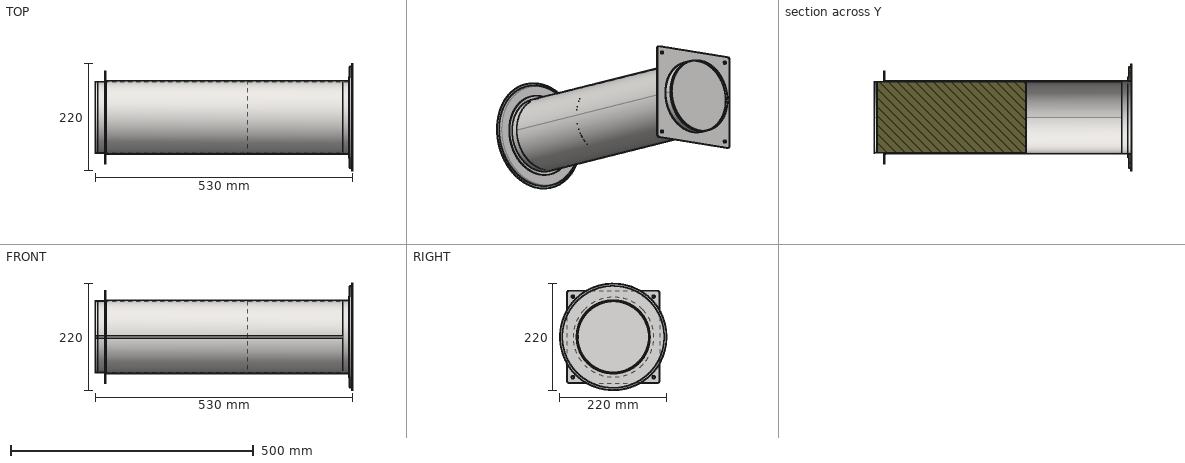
import cadquery as cq

total_length = 530.0

tube_radius = 76.0
tube_wall = 1.85
tube_start_x = 23.0

plate_x = 19.5
plate_thickness = 2.0
plate_side = 190.5
plate_corner_radius = 5.5
plate_hole_diameter = 5.5
plate_hole_pitch = 166.0

inner_tube_length = 509.0
inner_tube_wall = 0.8
inner_tube_slit_width = 5.0

plug_front_x = 6.0
plug_back_x = 313.0

flange_diameter = 220.0
flange_rim_thickness = 1.3
flange_face_x = 523.5
flange_dish_radius = 105.0
flange_dish_fillet = 2.0
flange_hub_x = 522.0
flange_hub_radius = 82.5

inner_tube_radius = tube_radius - tube_wall
plug_radius = inner_tube_radius - inner_tube_wall
plate_back_x = plate_x + plate_thickness
flange_radius = flange_diameter / 2
flange_rim_x = total_length - flange_rim_thickness


def cylinder(radius, start_x, end_x):
    """Solid cylinder on the X axis between two X positions."""
    return cq.Workplane("YZ", origin=(start_x, 0, 0)).circle(radius).extrude(end_x - start_x)


def make_outer_tube():
    """Thin tube from just behind the plate to the open end of the flange."""
    bore = cylinder(inner_tube_radius, tube_start_x, total_length)
    return cylinder(tube_radius, tube_start_x, total_length).cut(bore)


def make_plate():
    """Thin square plate with rounded corners, four screw holes and a bore for the inner tube."""
    return (
        cq.Workplane("YZ", origin=(plate_x, 0, 0))
        .rect(plate_side, plate_side)
        .extrude(plate_thickness)
        .edges("|X")
        .fillet(plate_corner_radius)
        .faces("<X")
        .workplane(origin=(plate_x, 0, 0))
        .rect(plate_hole_pitch, plate_hole_pitch, forConstruction=True)
        .vertices()
        .hole(plate_hole_diameter)
        .cut(cylinder(inner_tube_radius, plate_x, plate_back_x))
    )


def make_inner_tube():
    """Thin tube, slit along its whole length on the -Y side."""
    tube = cylinder(inner_tube_radius, 0, inner_tube_length)
    tube = tube.cut(cylinder(plug_radius, 0, inner_tube_length))
    slit = cq.Workplane("XY").box(
        inner_tube_length, inner_tube_radius, inner_tube_slit_width, centered=(False, False, True)
    )
    return tube.cut(slit.translate((0, -inner_tube_radius, 0)))


def make_plug():
    """Solid core that closes the inner tube, set back from its front end."""
    return cylinder(plug_radius, plug_front_x, plug_back_x)


def make_flange():
    """Ring around the end of the outer tube: hub step, raised face with a round edge, thin flat rim."""
    raised_face = cylinder(flange_dish_radius, flange_face_x, flange_rim_x)
    raised_face = raised_face.faces("<X").edges().fillet(flange_dish_fillet)
    return (
        cylinder(flange_radius, flange_rim_x, total_length)
        .union(raised_face)
        .union(cylinder(flange_hub_radius, flange_hub_x, flange_face_x))
        .cut(cylinder(tube_radius, flange_hub_x, total_length))
    )


outer_tube = make_outer_tube()
plate = make_plate()
inner_tube = make_inner_tube()
plug = make_plug()
flange = make_flange()

result = cq.Compound.makeCompound(
    [outer_tube.val(), plate.val(), inner_tube.val(), plug.val(), flange.val()]
)